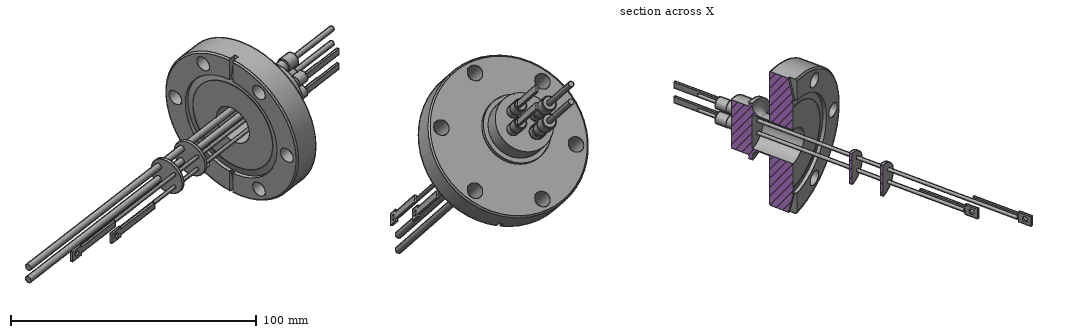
import cadquery as cq
import math


FLANGE_DIAMETER = 69.85
FLANGE_THICKNESS = 12.7
FLANGE_CHAMFER = 0.7
BOLT_COUNT = 6
BOLT_CIRCLE = 58.7
BOLT_HOLE = 6.7
RECESS_DIAMETER = 48.3
RECESS_DEPTH = 1.7
KNIFE_DIAMETER = 42.0
KNIFE_ANGLE = 12.0
KNIFE_HEIGHT = 0.2
GROOVE_WIDTH = 1.8
GROOVE_RIM_DEPTH = 3.5
GROOVE_SLOPE = 13.0

NECK_DIAMETER = 18.5
BORE_DIAMETER = 17.3
NECK_STRAIGHT_LENGTH = 4.0
FLARE_RADIUS = 4.0
COLLAR_DIAMETER = 29.5
COLLAR_THICKNESS = 1.8
HOUSING_DIAMETER = 25.4
HOUSING_LENGTH = 8.3

COLLAR_START = FLANGE_THICKNESS + NECK_STRAIGHT_LENGTH + FLARE_RADIUS
HOUSING_START = COLLAR_START + COLLAR_THICKNESS
HOUSING_END = HOUSING_START + HOUSING_LENGTH

OVERALL_LENGTH = 196.97
AIR_END = 71.3
VACUUM_END = AIR_END - OVERALL_LENGTH
AIR_X, AIR_Z = 5.1, 3.85
VACUUM_X, VACUUM_Z = 4.15, 3.26
AIR_ROD_DIAMETER = 2.4
VACUUM_ROD_DIAMETER = 2.9
AIR_WIRE_DIAMETER = 1.4
VACUUM_WIRE_DIAMETER = 1.55
CONDUCTOR_JOINT = (COLLAR_START + HOUSING_END) / 2
ROWS = (1, -1)

ROD_SLEEVE_DIAMETER = 6.35
ROD_SLEEVE_WAIST = 5.4
ROD_SLEEVE_LENGTH = 15.4
WAIST_START, WAIST_END = 4.2, 9.1
WIRE_SLEEVE_DIAMETER = 5.4
WIRE_SLEEVE_BASE_DIAMETER = 5.2
WIRE_SLEEVE_BASE_LENGTH = 4.0
WIRE_SLEEVE_LENGTH = 9.5
SLEEVE_CHAMFER = 0.4

STRIP_THICKNESS = 1.0
STRIP_HEIGHT = 3.0
STRIP_OFFSET = 1.0
AIR_WIRE_LENGTH = 18.8
AIR_STRIP_LENGTH = 30.7
VACUUM_STRIP_LENGTH = 27.7
UPPER_TAB_TIP = -109.2
LOWER_TAB_TIP = -83.8
TAB_LENGTH = 6.0
TAB_HEIGHT = 5.0
TAB_HOLE = 2.4

SPACER_DIAMETER = 16.2
SPACER_THICKNESS = 1.3
SPACER_POSITIONS = (-26.1, -40.9)


def rod(x, z, y_start, y_end, diameter):
    """Round bar along Y between two stations."""
    plane = cq.Plane(origin=(x, y_start, z), xDir=(1, 0, 0), normal=(0, 1, 0))
    return cq.Workplane(plane).circle(diameter / 2).extrude(y_end - y_start)


def bar(x, z, y_start, y_end, thickness, height):
    """Rectangular bar along Y between two stations."""
    return (
        cq.Workplane("XY")
        .box(thickness, y_end - y_start, height)
        .translate((x, (y_start + y_end) / 2, z))
    )


def make_flange():
    body = rod(0, 0, 0, FLANGE_THICKNESS, FLANGE_DIAMETER)
    body = body.edges().chamfer(FLANGE_CHAMFER)
    recess_radius = RECESS_DIAMETER / 2
    knife_radius = KNIFE_DIAMETER / 2
    cone_rise = (recess_radius - knife_radius) * math.tan(math.radians(KNIFE_ANGLE))
    knife_depth = RECESS_DEPTH - cone_rise
    inner_depth = knife_depth + KNIFE_HEIGHT
    recess = (
        cq.Workplane("XY")
        .polyline([
            (0, 0),
            (recess_radius, 0),
            (recess_radius, RECESS_DEPTH),
            (knife_radius, knife_depth),
            (knife_radius, inner_depth),
            (0, inner_depth),
        ])
        .close()
        .revolve(360, (0, 0, 0), (0, 1, 0))
    )
    body = body.cut(recess)
    for index in range(BOLT_COUNT):
        angle = 2 * math.pi * index / BOLT_COUNT
        x = BOLT_CIRCLE / 2 * math.cos(angle)
        z = BOLT_CIRCLE / 2 * math.sin(angle)
        body = body.cut(rod(x, z, 0, FLANGE_THICKNESS, BOLT_HOLE))
    return body.cut(make_leak_grooves())


def make_leak_grooves():
    """Grooves with a sloping floor, from the recess to the rim, above and below the axis."""
    inner = KNIFE_DIAMETER / 2
    outer = FLANGE_DIAMETER / 2
    floor_drop = (outer - inner) * math.tan(math.radians(GROOVE_SLOPE))
    upper = (
        cq.Workplane("YZ")
        .polyline([
            (0, inner),
            (GROOVE_RIM_DEPTH - floor_drop, inner),
            (GROOVE_RIM_DEPTH, outer),
            (0, outer),
        ])
        .close()
        .extrude(GROOVE_WIDTH / 2, both=True)
    )
    return upper.union(upper.mirror("XY"))


def make_housing():
    """Neck flaring into the collar, with the solid housing behind it."""
    neck = NECK_DIAMETER / 2
    flare_start = COLLAR_START - FLARE_RADIUS
    flare_end_radius = neck + FLARE_RADIUS
    arc_reach = FLARE_RADIUS * math.sqrt(0.5)
    flare_middle = (flare_end_radius - arc_reach, flare_start + arc_reach)
    collar = COLLAR_DIAMETER / 2
    housing = HOUSING_DIAMETER / 2
    neck_root = FLANGE_THICKNESS / 2
    return (
        cq.Workplane("XY")
        .moveTo(0, neck_root)
        .lineTo(neck, neck_root)
        .lineTo(neck, flare_start)
        .threePointArc(flare_middle, (flare_end_radius, COLLAR_START))
        .lineTo(collar, COLLAR_START)
        .lineTo(collar, HOUSING_START)
        .lineTo(housing, HOUSING_START)
        .lineTo(housing, HOUSING_END)
        .lineTo(0, HOUSING_END)
        .close()
        .revolve(360, (0, 0, 0), (0, 1, 0))
    )


def sleeve(x, z, y_start, y_end, diameter):
    """Insulating sleeve section with chamfered ends."""
    return rod(x, z, y_start, y_end, diameter).edges().chamfer(SLEEVE_CHAMFER)


def make_power_rod(row):
    z = row * AIR_Z
    waist_start = HOUSING_END + WAIST_START
    waist_end = HOUSING_END + WAIST_END
    sleeve_end = HOUSING_END + ROD_SLEEVE_LENGTH
    return [
        rod(-AIR_X, z, CONDUCTOR_JOINT, AIR_END, AIR_ROD_DIAMETER),
        rod(-VACUUM_X, row * VACUUM_Z, VACUUM_END, CONDUCTOR_JOINT, VACUUM_ROD_DIAMETER),
        sleeve(-AIR_X, z, HOUSING_END, waist_start, ROD_SLEEVE_DIAMETER),
        rod(-AIR_X, z, HOUSING_END, sleeve_end - SLEEVE_CHAMFER, ROD_SLEEVE_WAIST),
        sleeve(-AIR_X, z, waist_end, sleeve_end, ROD_SLEEVE_DIAMETER),
    ]


def make_thin_lead(row, tab_tip):
    air_z = row * AIR_Z
    air_strip_x = AIR_X + STRIP_OFFSET
    air_strip_end = HOUSING_END + AIR_STRIP_LENGTH
    air_wire_end = HOUSING_END + AIR_WIRE_LENGTH
    base_end = HOUSING_END + WIRE_SLEEVE_BASE_LENGTH
    sleeve_end = HOUSING_END + WIRE_SLEEVE_LENGTH
    vacuum_z = row * VACUUM_Z
    tab_x = VACUUM_X + STRIP_OFFSET
    tab_root = tab_tip + TAB_LENGTH
    strip_end = tab_tip + VACUUM_STRIP_LENGTH
    tab = bar(tab_x, vacuum_z, tab_tip, tab_root, STRIP_THICKNESS, TAB_HEIGHT)
    tab = tab.faces(">X").workplane(centerOption="CenterOfBoundBox").hole(TAB_HOLE)
    return [
        rod(AIR_X, air_z, CONDUCTOR_JOINT, air_wire_end, AIR_WIRE_DIAMETER),
        bar(air_strip_x, air_z, sleeve_end, air_strip_end, STRIP_THICKNESS, STRIP_HEIGHT),
        rod(AIR_X, air_z, HOUSING_END, base_end, WIRE_SLEEVE_BASE_DIAMETER),
        rod(AIR_X, air_z, base_end, sleeve_end, WIRE_SLEEVE_DIAMETER).faces(">Y").chamfer(SLEEVE_CHAMFER),
        rod(VACUUM_X, vacuum_z, tab_root, CONDUCTOR_JOINT, VACUUM_WIRE_DIAMETER),
        bar(tab_x, vacuum_z, tab_root, strip_end, STRIP_THICKNESS, STRIP_HEIGHT),
        tab,
    ]


def make_spacer(middle):
    half = SPACER_THICKNESS / 2
    return rod(0, 0, middle - half, middle + half, SPACER_DIAMETER)


body = make_flange().union(make_housing())
body = body.cut(rod(0, 0, 0, COLLAR_START, BORE_DIAMETER))

attachments = [make_spacer(middle) for middle in SPACER_POSITIONS]
for row, tab_tip in zip(ROWS, (UPPER_TAB_TIP, LOWER_TAB_TIP)):
    attachments += make_power_rod(row)
    attachments += make_thin_lead(row, tab_tip)
for attachment in attachments:
    body = body.union(attachment)

result = body